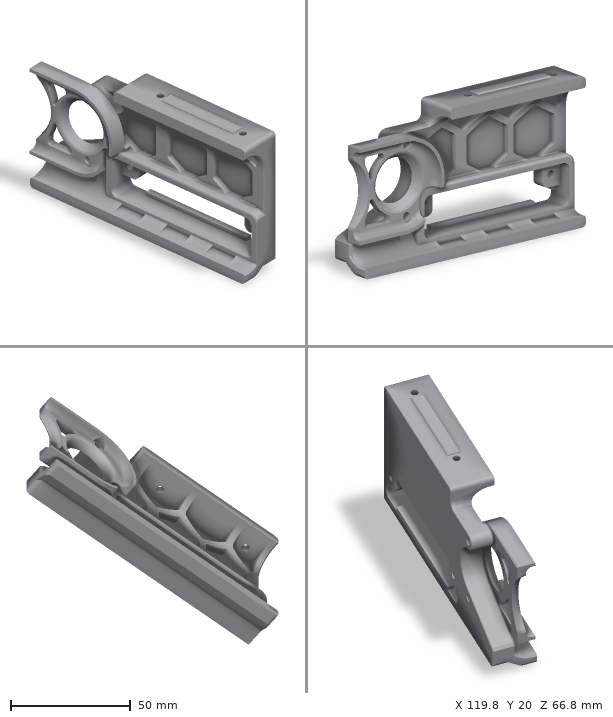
import cadquery as cq
import math

DEPTH = 20.0
RIGHT_X = 95.3
SCREW_X = 3.9
SCREW_Z = 15.5
SCREW_RADIUS = 1.75
OUTER_CENTER_Z = -0.8

HOUSING_LEFT_X = -23.0
TOP_Z = 29.15
BOTTOM_Z = -36.85
FLANGE_LEFT_X = 22.9
FLANGE_THICKNESS = 5.1
FLANGE_CORNER_RADIUS = 1.9
TOP_CHANNEL_Z = TOP_Z - FLANGE_THICKNESS
FOOT_THICKNESS = 4.95
FOOT_TOP_Z = BOTTOM_Z + FOOT_THICKNESS
HEEL_Z = -33.0
HEEL_Y = 11.4
TOE_Y = 5.65
CHANNEL_RADIUS = 10.65
CHANNEL_CENTER_Y = 2.0
WEB_Y = CHANNEL_CENTER_Y + CHANNEL_RADIUS

CLEARANCE_RADIUS = 12.0
SCREW_DISTANCE = math.hypot(SCREW_X, SCREW_Z)
ARM_END_RADIUS = SCREW_DISTANCE - CLEARANCE_RADIUS
ARM_TOP_Z = SCREW_Z + ARM_END_RADIUS
ARM_STEP_RADIUS = 3.0
RAMP_START_X = -21.8
RAMP_START_Z = -22.7
RAMP_CORNER = 1.2

PLATEAU_Y = 9.6
PLATEAU_RADIUS = 21.6
PLATEAU_BLEND_RADIUS = 4.1
HEEL_RADIUS = 2.2
END_CHAMFER = 0.9
RIGHT_CHAMFER = 0.7
BACK_CHAMFER = 0.3
PLATEAU_RIGHT_X = 4.1

HEX_WIDTH = 22.0
HEX_PITCH = 25.0
HEX_FLOOR_Y = 15.6
HEX_CORNER_RADIUS = 1.5
HEX_FIRST_X = 27.7
HEX_ROW_Z = 4.3
HEX_FIRST_RIGHT_X = 35.6
UPPER_HEX_RIGHT_X = 92.1

FRAME_Y = 7.6
FRAME_LEFT_X = 11.5
FRAME_TOP_Z = -6.4
FRAME_CORNER_RADIUS = 4.6
FRAME_LIP_RADIUS = 1.3
FRAME_ROOT_CHAMFER = 0.6
WINDOW_LEFT_X = 15.2
WINDOW_RIGHT_X = 92.5
WINDOW_TOP_Z = -9.7
WINDOW_BOTTOM_Z = -29.0
WINDOW_RADIUS = 3.0
TAB_WIDTH = 9.4
TAB_HEIGHT = 11.6
TAB_RADIUS = 3.0
TAB_Y = 14.0
TAB_HOLE_INSET = 4.8
TAB_HOLE_DROP = 6.05
LIP_THICKNESS = 3.0
LIP_HEIGHT = 1.9
LOWER_LIP_INSET = 11.0
NUB_WIDTH = 2.0
NUB_HEIGHT = 2.5

FOOT_NOTCH_WIDTH = 12.9

PAD_LENGTH = 39.5
PAD_WIDTH = 6.0
PAD_HEIGHT = 0.8
PAD_CENTER_X = 63.0
PAD_CHAMFER = 0.5
TOP_HOLE_OFFSET = 22.75
TOP_HOLE_RADIUS = 1.7
TOP_HOLE_DEPTH = 6.0

CARRIER_LEFT_X = -24.5
CARRIER_FRONT_Y = 1.45
CARRIER_FLOOR_Y = 5.65
CARRIER_BACK_Y = PLATEAU_Y
CARRIER_RADIUS = 21.0
CARRIER_BACK_CHAMFER = 0.5
RIM_THICKNESS = 1.6
RIM_FILLET = 3.0
BORE_FRONT_RADIUS = 12.7
BORE_BACK_RADIUS = 9.9
BORE_EDGE_CHAMFER = 0.6
SCREW_SPOT_RADIUS = 2.9
RELIEF_LEFT_X = 10.8
RELIEF_TOP_Z = -5.0
RELIEF_RADIUS = 5.0
SCALLOP_BACK_REACH = 5.3
SCALLOP_BACK_HALF_HEIGHT = 14.2
SCALLOP_FRONT_REACH = 8.3
SCALLOP_FRONT_HALF_HEIGHT = 15.2
SCALLOP_RIB_RADIUS = 25.8
SCALLOP_RIB_REACH = 9.4
BORE_RIB = 1.7
LIGHTENING_LEFT_X = -18.3
UPPER_LIGHTENING_RIGHT_X = -8.1
UPPER_TIP_Z = 3.8
UPPER_EDGE_Z = 14.6
LOWER_LIGHTENING_RIGHT_X = -4.8
LOWER_TIP_Z = -4.6
LOWER_EDGE_Z = -16.65
LIGHTENING_TIP_RADIUS = 0.7
LIGHTENING_CORNER_RADIUS = 1.5
SCALLOP_CORNER_RADIUS = 2.0


def box(x0, x1, y0, y1, z0, z1):
    """Axis-aligned block between two corners."""
    return cq.Workplane("XY").box(x1 - x0, y1 - y0, z1 - z0, centered=False).translate((x0, y0, z0))


def face_plane(y):
    """Sketch plane at depth y, with local axes X and Z; positive extrusion runs toward -Y."""
    return cq.Workplane("XZ", origin=(0, y, 0))


def cylinder(x, z, radius, y0, y1):
    """Cylinder along Y from y0 to y1."""
    return face_plane(y0).center(x, z).circle(radius).extrude(y0 - y1)


def cone(x, z, front_radius, back_radius, y0, y1):
    """Cone frustum along Y from y0 to y1."""
    return cq.Workplane(
        obj=cq.Solid.makeCone(front_radius, back_radius, y1 - y0, cq.Vector(x, y0, z), cq.Vector(0, 1, 0))
    )


def d_shape(left_x, radius, y0, y1):
    """Block with a half-round right end, centred on the carrier's outer centre."""
    top_z = OUTER_CENTER_Z + radius
    bottom_z = OUTER_CENTER_Z - radius
    return (
        face_plane(y0)
        .moveTo(left_x, bottom_z)
        .lineTo(0, bottom_z)
        .threePointArc((radius, OUTER_CENTER_Z), (0, top_z))
        .lineTo(left_x, top_z)
        .close()
        .extrude(y0 - y1)
    )


def housing_section():
    """Channel section swept along X, with flange, web and sloped foot."""
    upper_center_z = TOP_CHANNEL_Z - CHANNEL_RADIUS
    lower_center_z = FOOT_TOP_Z + CHANNEL_RADIUS
    diagonal = CHANNEL_RADIUS * math.sqrt(0.5)
    arc_mid_y = CHANNEL_CENTER_Y + diagonal
    return (
        cq.Workplane("YZ", origin=(HOUSING_LEFT_X, 0, 0))
        .moveTo(0, TOP_Z)
        .lineTo(DEPTH, TOP_Z)
        .lineTo(DEPTH, HEEL_Z)
        .lineTo(HEEL_Y, HEEL_Z)
        .lineTo(TOE_Y, BOTTOM_Z)
        .lineTo(0, BOTTOM_Z)
        .lineTo(0, FOOT_TOP_Z)
        .lineTo(CHANNEL_CENTER_Y, FOOT_TOP_Z)
        .threePointArc((arc_mid_y, lower_center_z - diagonal), (WEB_Y, lower_center_z))
        .lineTo(WEB_Y, upper_center_z)
        .threePointArc((arc_mid_y, upper_center_z + diagonal), (CHANNEL_CENTER_Y, TOP_CHANNEL_Z))
        .lineTo(0, TOP_CHANNEL_Z)
        .close()
        .extrude(RIGHT_X - HOUSING_LEFT_X)
    )


def housing_outline():
    """Front outline: ramp tangent to the bore clearance, arm round the screw, step up to the flange."""
    ramp_start_angle = math.atan2(RAMP_START_Z, RAMP_START_X)
    ramp_start_distance = math.hypot(RAMP_START_X, RAMP_START_Z)
    tangent_angle = ramp_start_angle + math.acos(CLEARANCE_RADIUS / ramp_start_distance)
    ramp_end = (CLEARANCE_RADIUS * math.cos(tangent_angle), CLEARANCE_RADIUS * math.sin(tangent_angle))
    arm_root_ratio = CLEARANCE_RADIUS / SCREW_DISTANCE
    arm_root = (SCREW_X * arm_root_ratio, SCREW_Z * arm_root_ratio)
    step_x = FLANGE_LEFT_X - ARM_STEP_RADIUS
    step_z = ARM_TOP_Z + ARM_STEP_RADIUS
    step_diagonal = ARM_STEP_RADIUS * math.sqrt(0.5)
    outline = (
        face_plane(0)
        .moveTo(HOUSING_LEFT_X, BOTTOM_Z)
        .lineTo(HOUSING_LEFT_X, RAMP_START_Z - RAMP_CORNER)
        .lineTo(RAMP_START_X, RAMP_START_Z)
        .lineTo(*ramp_end)
        .threePointArc((CLEARANCE_RADIUS, 0), arm_root)
        .threePointArc((SCREW_X - ARM_END_RADIUS, SCREW_Z), (SCREW_X, ARM_TOP_Z))
        .lineTo(step_x, ARM_TOP_Z)
        .threePointArc((step_x + step_diagonal, step_z - step_diagonal), (FLANGE_LEFT_X, step_z))
        .lineTo(FLANGE_LEFT_X, TOP_Z)
        .lineTo(RIGHT_X, TOP_Z)
        .lineTo(RIGHT_X, BOTTOM_Z)
        .close()
        .extrude(-DEPTH)
    )
    rounded = outline.edges("|Y").edges(">Z").fillet(FLANGE_CORNER_RADIUS)
    rounded = rounded.edges("|Y").edges("<Z").fillet(FLANGE_CORNER_RADIUS)
    return rounded.faces(">Y").chamfer(BACK_CHAMFER)


def plateau(outline):
    """Raised pad behind the carrier, chamfered round its front face."""
    disc = cylinder(0, OUTER_CENTER_Z, PLATEAU_RADIUS, PLATEAU_Y, DEPTH)
    foot = box(HOUSING_LEFT_X, PLATEAU_RIGHT_X, PLATEAU_Y, DEPTH, HEEL_Z + HEEL_RADIUS, OUTER_CENTER_Z)
    pad = disc.union(foot).intersect(outline)
    return pad.faces("<Y").chamfer(END_CHAMFER)


def plateau_blend():
    """Concave fillet, tangent to the plateau's face and to the lower channel arc."""
    blend_y = PLATEAU_Y - PLATEAU_BLEND_RADIUS
    channel_center_z = FOOT_TOP_Z + CHANNEL_RADIUS
    offset_y = blend_y - CHANNEL_CENTER_Y
    center_distance = CHANNEL_RADIUS - PLATEAU_BLEND_RADIUS
    offset_z = -math.sqrt(center_distance**2 - offset_y**2)
    blend_z = channel_center_z + offset_z
    end_angle = math.atan2(offset_z, offset_y)
    mid_y = blend_y + PLATEAU_BLEND_RADIUS * math.cos(end_angle / 2)
    mid_z = blend_z + PLATEAU_BLEND_RADIUS * math.sin(end_angle / 2)
    end_y = blend_y + PLATEAU_BLEND_RADIUS * math.cos(end_angle)
    end_z = blend_z + PLATEAU_BLEND_RADIUS * math.sin(end_angle)
    left_x = HOUSING_LEFT_X + END_CHAMFER
    right_x = PLATEAU_RIGHT_X - END_CHAMFER
    return (
        cq.Workplane("YZ", origin=(left_x, 0, 0))
        .moveTo(PLATEAU_Y, blend_z)
        .threePointArc((mid_y, mid_z), (end_y, end_z))
        .lineTo(WEB_Y, end_z)
        .lineTo(WEB_Y, blend_z)
        .close()
        .extrude(right_x - left_x)
    )


def frame():
    """Forward-standing surround of the lower window; its round right edge is trimmed at the housing's end."""
    untrimmed_right_x = RIGHT_X + FRAME_LIP_RADIUS - RIGHT_CHAMFER
    block = box(FRAME_LEFT_X, untrimmed_right_x, FRAME_Y, DEPTH - BACK_CHAMFER, HEEL_Z, FRAME_TOP_Z)
    block = block.edges("|Y and >Z").fillet(FRAME_CORNER_RADIUS)
    block = block.faces("<Y").edges(">Z").fillet(FRAME_LIP_RADIUS)
    trimmed = block.intersect(box(FRAME_LEFT_X, RIGHT_X, 0, DEPTH, HEEL_Z, FRAME_TOP_Z))
    root_left_x = FRAME_LEFT_X + FRAME_CORNER_RADIUS
    root = (
        cq.Workplane("YZ", origin=(root_left_x, 0, 0))
        .moveTo(WEB_Y - FRAME_ROOT_CHAMFER, FRAME_TOP_Z)
        .lineTo(HEX_FLOOR_Y, FRAME_TOP_Z)
        .lineTo(HEX_FLOOR_Y, FRAME_TOP_Z + FRAME_ROOT_CHAMFER)
        .lineTo(WEB_Y, FRAME_TOP_Z + FRAME_ROOT_CHAMFER)
        .close()
        .extrude(RIGHT_X - FRAME_CORNER_RADIUS - root_left_x)
    )
    return trimmed.union(root)


def frame_window():
    """Window through the frame, less the tabs, lips and nubs that stand in it."""
    window = box(WINDOW_LEFT_X, WINDOW_RIGHT_X, 0, DEPTH, WINDOW_BOTTOM_Z, WINDOW_TOP_Z)
    window = window.edges("|Y").fillet(WINDOW_RADIUS)
    lip_y = DEPTH - LIP_THICKNESS
    tab_bottom_z = WINDOW_TOP_Z - TAB_HEIGHT
    sides = ((WINDOW_LEFT_X, 1, ">X"), (WINDOW_RIGHT_X, -1, "<X"))
    for wall_x, inward, inner_side in sides:
        tab_x = sorted((wall_x, wall_x + inward * TAB_WIDTH))
        tab = box(*tab_x, TAB_Y, DEPTH, tab_bottom_z, WINDOW_TOP_Z)
        tab = tab.edges("|Y and <Z").edges(inner_side).fillet(TAB_RADIUS)
        hole_x = wall_x + inward * TAB_HOLE_INSET
        tab = tab.cut(cylinder(hole_x, WINDOW_TOP_Z - TAB_HOLE_DROP, SCREW_RADIUS, TAB_Y, DEPTH))
        nub_x = sorted((wall_x, wall_x + inward * NUB_WIDTH))
        nub = box(*nub_x, lip_y, DEPTH, tab_bottom_z - NUB_HEIGHT, tab_bottom_z)
        window = window.cut(tab).cut(nub)
    upper_lip = box(WINDOW_LEFT_X, WINDOW_RIGHT_X, lip_y, DEPTH, WINDOW_TOP_Z - LIP_HEIGHT, WINDOW_TOP_Z)
    lower_lip = box(
        WINDOW_LEFT_X + LOWER_LIP_INSET,
        WINDOW_RIGHT_X - LOWER_LIP_INSET,
        lip_y,
        DEPTH,
        WINDOW_BOTTOM_Z,
        WINDOW_BOTTOM_Z + LIP_HEIGHT,
    )
    return window.cut(upper_lip).cut(lower_lip)


def hex_pocket(center_x, center_z, right_x, bottom_z):
    """Hexagonal pocket, point up, trimmed at right_x, bottom_z and the flange."""
    circumdiameter = HEX_WIDTH / math.cos(math.pi / 6)
    prism = (
        face_plane(0)
        .polygon(6, circumdiameter)
        .extrude(-HEX_FLOOR_Y)
        .rotate((0, 0, 0), (0, 1, 0), 90)
        .translate((center_x, 0, center_z))
    )
    limits = box(center_x - HEX_WIDTH, right_x, 0, HEX_FLOOR_Y, bottom_z, TOP_CHANNEL_Z)
    prism = prism.intersect(limits)
    return prism.edges("|Y").edges("not(<Z or >Z)").fillet(HEX_CORNER_RADIUS)


def hex_pockets():
    """Two staggered rows of three pockets."""
    row_step = HEX_PITCH * math.cos(math.pi / 6)
    pockets = []
    for index in range(3):
        lower_x = HEX_FIRST_X + index * HEX_PITCH
        lower_right = HEX_FIRST_RIGHT_X if index == 0 else lower_x + HEX_WIDTH
        pockets.append(hex_pocket(lower_x, HEX_ROW_Z, lower_right, FRAME_TOP_Z))
        upper_x = lower_x + HEX_PITCH / 2
        upper_right = min(upper_x + HEX_WIDTH, UPPER_HEX_RIGHT_X)
        pockets.append(hex_pocket(upper_x, HEX_ROW_Z + row_step, upper_right, FRAME_TOP_Z))
    return pockets


def make_housing():
    outline = housing_outline()
    body = housing_section().intersect(outline)
    heel_edge = cq.selectors.NearestToPointSelector((HOUSING_LEFT_X, DEPTH - HEEL_RADIUS, HEEL_Z))
    body = body.edges("|Y").edges(heel_edge).fillet(HEEL_RADIUS)
    body = body.faces("<X").edges("%CIRCLE").chamfer(END_CHAMFER)
    flange_end = cq.selectors.BoxSelector(
        (FLANGE_LEFT_X - END_CHAMFER, 0, ARM_TOP_Z), (FLANGE_LEFT_X + END_CHAMFER, WEB_Y, TOP_CHANNEL_Z)
    )
    body = body.edges(flange_end).edges("%CIRCLE").chamfer(END_CHAMFER)
    body = body.faces(">X").edges("%CIRCLE").edges("<Y").chamfer(RIGHT_CHAMFER)
    body = body.union(plateau(outline)).union(plateau_blend())
    body = body.union(frame())
    for pocket in hex_pockets():
        body = body.cut(pocket)
    body = body.cut(frame_window())
    for index in range(3):
        notch_left = HEX_FIRST_X + index * HEX_PITCH - FOOT_NOTCH_WIDTH / 2
        body = body.cut(
            box(notch_left, notch_left + FOOT_NOTCH_WIDTH, 0, FRAME_Y, FOOT_TOP_Z, WINDOW_BOTTOM_Z)
        )
    for screw_z in (SCREW_Z, -SCREW_Z):
        body = body.cut(cylinder(SCREW_X, screw_z, SCREW_RADIUS, 0, DEPTH))
    pad = (
        cq.Workplane("XY", origin=(PAD_CENTER_X, DEPTH / 2, TOP_Z))
        .rect(PAD_LENGTH, PAD_WIDTH)
        .extrude(PAD_HEIGHT)
        .faces(">Z")
        .chamfer(PAD_CHAMFER)
    )
    top_holes = (
        cq.Workplane("XY", origin=(PAD_CENTER_X, DEPTH / 2, TOP_Z))
        .pushPoints([(-TOP_HOLE_OFFSET, 0), (TOP_HOLE_OFFSET, 0)])
        .circle(TOP_HOLE_RADIUS)
        .extrude(-TOP_HOLE_DEPTH)
    )
    return body.union(pad).cut(top_holes)


def scallop_circle(reach, half_height, y):
    """Circle cutting the carrier's left face to a given reach and half height."""
    radius = (reach**2 + half_height**2) / (2 * reach)
    center = cq.Vector(CARRIER_LEFT_X + reach - radius, y, OUTER_CENTER_Z)
    return cq.Wire.makeCircle(radius, center, cq.Vector(0, 1, 0))


def scallop():
    """Flared round bite out of the carrier's left face, wider toward the front."""
    front = scallop_circle(SCALLOP_FRONT_REACH, SCALLOP_FRONT_HALF_HEIGHT, CARRIER_FLOOR_Y)
    back = scallop_circle(SCALLOP_BACK_REACH, SCALLOP_BACK_HALF_HEIGHT, CARRIER_BACK_Y)
    return cq.Workplane(obj=cq.Solid.makeLoft([front, back], True))


def lightening_window(right_x, z0, z1, tip_side, corner_side):
    """Opening between the bore rib and the scallop rib, with a narrow tip and two wide corners."""
    window = box(LIGHTENING_LEFT_X, right_x, CARRIER_FLOOR_Y, CARRIER_BACK_Y, z0, z1)
    window = window.cut(
        cylinder(0, 0, BORE_FRONT_RADIUS + BORE_RIB, CARRIER_FLOOR_Y, CARRIER_BACK_Y)
    )
    rib_center_x = CARRIER_LEFT_X + SCALLOP_RIB_REACH - SCALLOP_RIB_RADIUS
    window = window.cut(
        cylinder(rib_center_x, OUTER_CENTER_Z, SCALLOP_RIB_RADIUS, CARRIER_FLOOR_Y, CARRIER_BACK_Y)
    )
    window = window.edges("|Y").edges(tip_side).fillet(LIGHTENING_TIP_RADIUS)
    return window.edges("|Y").edges(corner_side).fillet(LIGHTENING_CORNER_RADIUS)


def make_carrier():
    body = d_shape(CARRIER_LEFT_X, CARRIER_RADIUS, CARRIER_FRONT_Y, CARRIER_BACK_Y)
    body = body.cut(scallop())
    scallop_corners = cq.selectors.BoxSelector(
        (CARRIER_LEFT_X - RIM_THICKNESS, CARRIER_FLOOR_Y, RIM_FILLET - CARRIER_RADIUS),
        (CARRIER_LEFT_X + RIM_THICKNESS, CARRIER_BACK_Y, CARRIER_RADIUS - RIM_FILLET),
    )
    body = body.edges(scallop_corners).edges("not |Z").fillet(SCALLOP_CORNER_RADIUS)
    body = body.faces(">Y").chamfer(CARRIER_BACK_CHAMFER)
    cavity = d_shape(
        CARRIER_LEFT_X - 2 * RIM_FILLET, CARRIER_RADIUS - RIM_THICKNESS, CARRIER_FRONT_Y, CARRIER_FLOOR_Y
    )
    body = body.cut(cavity.faces(">Y").edges().fillet(RIM_FILLET))
    for screw_z in (SCREW_Z, -SCREW_Z):
        body = body.cut(cylinder(SCREW_X, screw_z, SCREW_RADIUS, 0, CARRIER_BACK_Y))
        body = body.cut(cylinder(SCREW_X, screw_z, SCREW_SPOT_RADIUS, 0, CARRIER_FLOOR_Y))
    body = body.cut(cone(0, 0, BORE_FRONT_RADIUS, BORE_BACK_RADIUS, CARRIER_FLOOR_Y, CARRIER_BACK_Y))
    body = body.cut(
        cone(
            0, 0, BORE_FRONT_RADIUS + BORE_EDGE_CHAMFER, BORE_FRONT_RADIUS - BORE_EDGE_CHAMFER,
            CARRIER_FLOOR_Y, CARRIER_FLOOR_Y + BORE_EDGE_CHAMFER,
        )
    )
    body = body.cut(lightening_window(UPPER_LIGHTENING_RIGHT_X, UPPER_TIP_Z, UPPER_EDGE_Z, "<Z", ">Z"))
    body = body.cut(lightening_window(LOWER_LIGHTENING_RIGHT_X, LOWER_EDGE_Z, LOWER_TIP_Z, ">Z", "<Z"))
    relief = box(RELIEF_LEFT_X, RELIEF_LEFT_X + DEPTH, 0, DEPTH, RELIEF_TOP_Z - DEPTH, RELIEF_TOP_Z)
    return body.cut(relief.edges("|Y and >Z").edges("<X").fillet(RELIEF_RADIUS))


housing = make_housing()
carrier = make_carrier()
result = cq.Compound.makeCompound([housing.solids().val(), carrier.solids().val()])